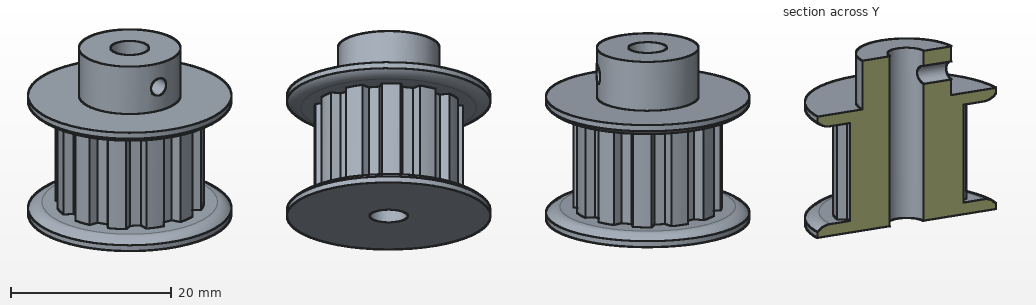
import cadquery as cq
import math

total_height = 22.22
hub_height = 6.35
drum_height = 12.7
flange_thickness = (total_height - hub_height - drum_height) / 2

flange_diameter = 25.4
flange_flat_diameter = 21.9
hub_diameter = 12.7
bore_diameter = 4.78
screw_hole_diameter = 2.29

tooth_count = 12
tip_radius = 9.27
groove_floor_distance = 8.08
groove_floor_width = 1.35
groove_mouth_width = 2.55

rim_height = flange_thickness / 2
hub_base = total_height - hub_height


def make_flange():
    """Disc resting on Z = 0 whose upper edge rolls over to a flat face."""
    rim_radius = flange_diameter / 2
    flat_radius = flange_flat_diameter / 2
    run = rim_radius - flat_radius
    drop = flange_thickness - rim_height
    arc_radius = (run**2 + drop**2) / (2 * drop)
    mid_angle = math.asin(run / arc_radius) / 2
    arc_middle = (
        flat_radius + arc_radius * math.sin(mid_angle),
        flange_thickness - arc_radius * (1 - math.cos(mid_angle)),
    )
    return (
        cq.Workplane("XZ")
        .lineTo(rim_radius, 0)
        .lineTo(rim_radius, rim_height)
        .threePointArc(arc_middle, (flat_radius, flange_thickness))
        .lineTo(0, flange_thickness)
        .close()
        .revolve(360, (0, 0, 0), (0, 1, 0))
    )


def make_groove():
    """Flat-floored trapezoidal groove along +X, running past the tooth tips."""
    mouth_half = groove_mouth_width / 2
    floor_half = groove_floor_width / 2
    mouth_distance = math.sqrt(tip_radius**2 - mouth_half**2)
    outer_distance = 2 * mouth_distance - groove_floor_distance
    outer_half = 2 * mouth_half - floor_half
    return (
        cq.Workplane("XY")
        .polyline([
            (groove_floor_distance, -floor_half),
            (outer_distance, -outer_half),
            (outer_distance, outer_half),
            (groove_floor_distance, floor_half),
        ])
        .close()
        .extrude(drum_height)
    )


def make_drum():
    """Toothed drum standing on Z = 0, with one groove centred on +X."""
    drum = cq.Workplane("XY").circle(tip_radius).extrude(drum_height)
    groove = make_groove()
    for index in range(tooth_count):
        angle = index * 360 / tooth_count
        drum = drum.cut(groove.rotate((0, 0, 0), (0, 0, 1), angle))
    return drum


lower_flange = make_flange()
upper_flange = make_flange().mirror("XY").translate((0, 0, hub_base))
drum = make_drum().translate((0, 0, flange_thickness))
hub = cq.Workplane("XY").workplane(offset=hub_base).circle(hub_diameter / 2).extrude(hub_height)
pulley = lower_flange.union(drum).union(upper_flange).union(hub)

bore = cq.Workplane("XY").circle(bore_diameter / 2).extrude(total_height)

screw_hole = (
    cq.Workplane("YZ")
    .center(0, hub_base + hub_height / 2)
    .circle(screw_hole_diameter / 2)
    .extrude(hub_diameter / 2)
)

result = pulley.cut(bore).cut(screw_hole)